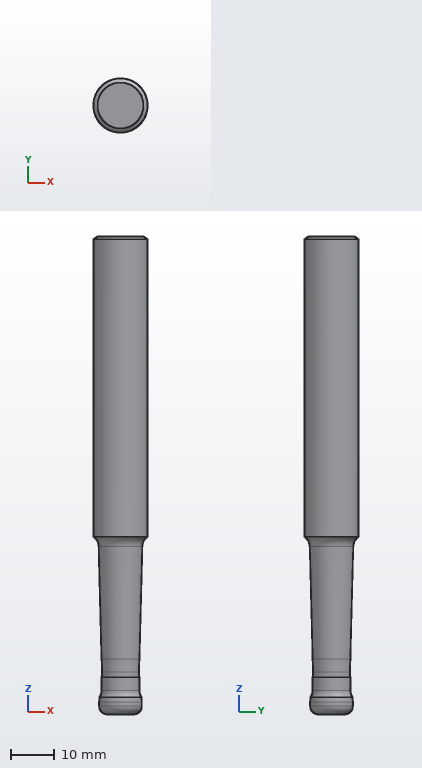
import cadquery as cq
import math

LENGTH = 111.1

SHANK_RADIUS = 6.3
SHANK_BOTTOM = 41.3
CHAMFER_WIDTH = 1.0
CHAMFER_HEIGHT = 0.7

TAPER_TOP = 39.1
TAPER_TOP_RADIUS = 5.1
TAPER_BOTTOM = 13.0
TAPER_BOTTOM_RADIUS = 4.5
COLLAR_TOP = 10.0
COLLAR_RADIUS = 4.3

HEAD_TOP = 8.7
STEM_RADIUS = 4.5
FLARE_TOP = 5.7
CONE_TOP = 4.0
CONE_TOP_RADIUS = 4.9
RIM_TOP = 3.0
RIM_RADIUS = 5.0
TIP_ROUND = 2.0


def revolve_about_z(profile):
    """Turn a closed radius-height profile into a solid of revolution."""
    return profile.close().revolve(360, (0, 0, 0), (0, 1, 0))


def make_holder():
    """Shank and tapered neck, ending in a flat seat for the head."""
    profile = (
        cq.Workplane("XZ")
        .moveTo(0, HEAD_TOP)
        .lineTo(COLLAR_RADIUS, HEAD_TOP)
        .lineTo(COLLAR_RADIUS, COLLAR_TOP)
        .tangentArcPoint((TAPER_BOTTOM_RADIUS, TAPER_BOTTOM), relative=False)
        .lineTo(TAPER_TOP_RADIUS, TAPER_TOP)
        .tangentArcPoint((SHANK_RADIUS, SHANK_BOTTOM), relative=False)
        .lineTo(SHANK_RADIUS, LENGTH - CHAMFER_HEIGHT)
        .lineTo(SHANK_RADIUS - CHAMFER_WIDTH, LENGTH)
        .lineTo(0, LENGTH)
    )
    return revolve_about_z(profile)


def make_head():
    """Cutting head, seated face to face against the neck collar."""
    round_reach = TIP_ROUND * math.sqrt(0.5)
    round_middle = (RIM_RADIUS - TIP_ROUND + round_reach, TIP_ROUND - round_reach)
    profile = (
        cq.Workplane("XZ")
        .moveTo(0, HEAD_TOP)
        .lineTo(STEM_RADIUS, HEAD_TOP)
        .lineTo(STEM_RADIUS, FLARE_TOP)
        .tangentArcPoint((CONE_TOP_RADIUS, CONE_TOP), relative=False)
        .lineTo(RIM_RADIUS, RIM_TOP)
        .lineTo(RIM_RADIUS, TIP_ROUND)
        .threePointArc(round_middle, (RIM_RADIUS - TIP_ROUND, 0))
        .lineTo(0, 0)
    )
    return revolve_about_z(profile)


holder = make_holder()
head = make_head()
result = cq.Compound.makeCompound([holder.val(), head.val()])